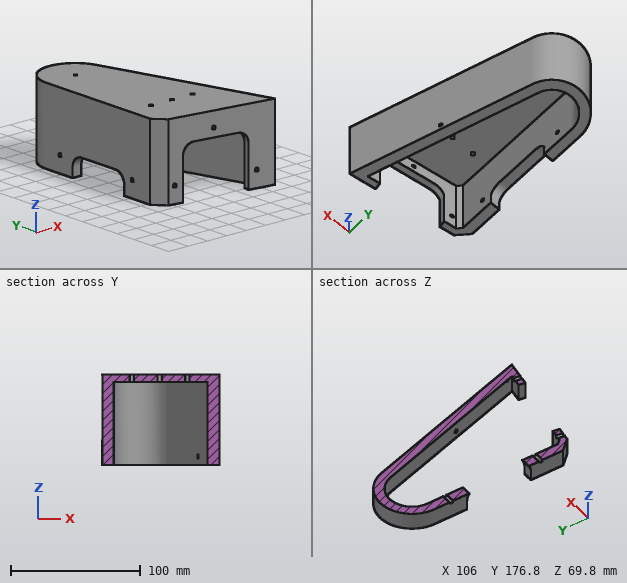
import cadquery as cq
import math

length = 176.8
width = 106.0
height = 69.8

rear_radius = 30.0
rear_center = (rear_radius, length - rear_radius)
sharp_corner = (width, 0.0)
cut_side_end = (0.0, 25.6)
cut_front_end = (9.4, 15.2)

side_wall = 9.0
front_wall = 6.0
roof = 6.0

opening_width = 60.0
opening_corner_radius = 10.0
front_opening_height = 48.0
front_opening_center = 54.3
side_opening_height = 19.0
side_opening_center = 86.0

wall_hole_diameter = 3.0
rear_roof_hole_diameter = 2.3
slanted_hole_diameter = 2.8
wall_hole_height = 15.0
front_hole_spacing = 75.0
front_top_hole_offset = 1.8
front_top_hole_height = 55.9
side_hole_ys = (46.7, 130.7)
roof_hole_y = 50.5
roof_hole_middle_x = 44.4
roof_hole_pitch = 21.4
slanted_hole_height = 6.5
slanted_hole_distance = 80.8


def direction(start, end):
    """Unit vector in plan from one point to another."""
    distance = math.dist(start, end)
    return ((end[0] - start[0]) / distance, (end[1] - start[1]) / distance)


def inward(along):
    """Unit vector into the part from a wall whose outline runs clockwise along the given vector."""
    return (along[1], -along[0])


def moved(point, along, distance):
    """Point reached from another by going a distance along a unit vector."""
    return (point[0] + along[0] * distance, point[1] + along[1] * distance)


def crossing(point_a, direction_a, point_b, direction_b):
    """Point where two lines in plan meet."""
    cross = direction_a[0] * direction_b[1] - direction_a[1] * direction_b[0]
    gap = (point_b[0] - point_a[0], point_b[1] - point_a[1])
    distance = (gap[0] * direction_b[1] - gap[1] * direction_b[0]) / cross
    return moved(point_a, direction_a, distance)


corner_to_center = math.dist(sharp_corner, rear_center)
bearing = math.atan2(rear_center[1] - sharp_corner[1], rear_center[0] - sharp_corner[0])
slant_angle = bearing - math.asin(rear_radius / corner_to_center)
slant_direction = (math.cos(slant_angle), math.sin(slant_angle))
slant_outward = (slant_direction[1], -slant_direction[0])

front_direction = direction(sharp_corner, cut_front_end)
front_inward = inward(front_direction)
cut_direction = direction(cut_front_end, cut_side_end)
cut_inward = inward(cut_direction)
side_direction = (0.0, 1.0)
side_inward = inward(side_direction)


def plan_solid(corner, front_end, side_end, radius, solid_height):
    """Upright body with the plan outline, rounded at the rear to the given radius."""
    center_x, center_y = rear_center
    return (
        cq.Workplane("XY")
        .moveTo(*corner)
        .lineTo(*moved(rear_center, slant_outward, radius))
        .threePointArc((center_x, center_y + radius), (center_x - radius, center_y))
        .lineTo(*side_end)
        .lineTo(*front_end)
        .close()
        .extrude(solid_height)
    )


def cavity():
    """Inside space: the plan outline moved in by the wall thicknesses."""
    slant_point = moved(sharp_corner, slant_outward, -side_wall)
    front_point = moved(sharp_corner, front_inward, front_wall)
    cut_point = moved(cut_front_end, cut_inward, front_wall)
    left_point = (side_wall, 0.0)
    return plan_solid(
        crossing(slant_point, slant_direction, front_point, front_direction),
        crossing(front_point, front_direction, cut_point, cut_direction),
        crossing(cut_point, cut_direction, left_point, side_direction),
        rear_radius - side_wall,
        height - roof,
    )


def wall_plane(point, into_wall):
    """Plane on an outer wall face: local X runs along the wall, local Y up, local Z inward."""
    return cq.Plane(
        origin=(point[0], point[1], 0.0),
        xDir=(-into_wall[1], into_wall[0], 0.0),
        normal=(into_wall[0], into_wall[1], 0.0),
    )


def wall_opening(plane, center, opening_height, wall):
    """Cutter for an opening with two rounded upper corners, deep enough to clear the wall."""
    return (
        cq.Workplane(plane)
        .center(center, 0.0)
        .rect(opening_width, 2 * opening_height)
        .extrude(2 * wall)
        .edges(cq.selectors.ParallelDirSelector(plane.zDir))
        .fillet(opening_corner_radius)
    )


def wall_holes(plane, points, diameter, wall):
    """Cutters for round holes through a wall."""
    return cq.Workplane(plane).pushPoints(points).circle(diameter / 2).extrude(2 * wall)


def roof_holes(points, diameter):
    """Cutters for round holes through the roof."""
    return (
        cq.Workplane("XY", origin=(0, 0, height))
        .pushPoints(points)
        .circle(diameter / 2)
        .extrude(-2 * roof)
    )


front_plane = wall_plane(sharp_corner, front_inward)
side_plane = wall_plane((0.0, 0.0), side_inward)
slanted_plane = wall_plane(sharp_corner, (-slant_outward[0], -slant_outward[1]))

result = plan_solid(sharp_corner, cut_front_end, cut_side_end, rear_radius, height).cut(cavity())

front_hole_points = [
    (front_opening_center - front_hole_spacing / 2, wall_hole_height),
    (front_opening_center + front_hole_spacing / 2, wall_hole_height),
    (front_opening_center + front_top_hole_offset, front_top_hole_height),
]
result = result.cut(wall_opening(front_plane, front_opening_center, front_opening_height, front_wall))
result = result.cut(wall_holes(front_plane, front_hole_points, wall_hole_diameter, front_wall))

side_hole_points = [(y, wall_hole_height) for y in side_hole_ys]
result = result.cut(wall_opening(side_plane, side_opening_center, side_opening_height, side_wall))
result = result.cut(wall_holes(side_plane, side_hole_points, wall_hole_diameter, side_wall))

slanted_hole_points = [(-slanted_hole_distance, slanted_hole_height)]
result = result.cut(wall_holes(slanted_plane, slanted_hole_points, slanted_hole_diameter, side_wall))

roof_row = [(roof_hole_middle_x + step * roof_hole_pitch, roof_hole_y) for step in (-1, 0, 1)]
result = result.cut(roof_holes(roof_row, wall_hole_diameter))
result = result.cut(roof_holes([rear_center], rear_roof_hole_diameter))